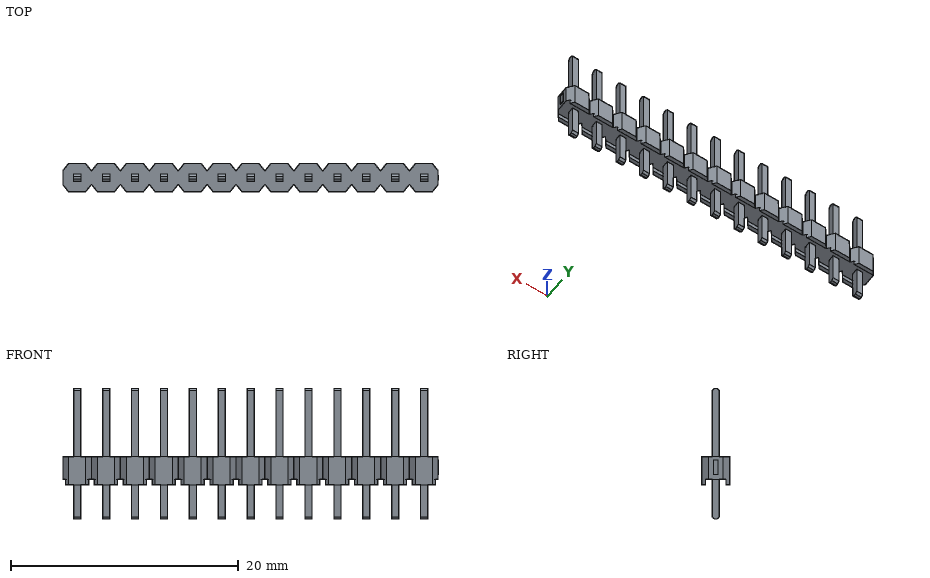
import cadquery as cq

pin_count = 13
pitch = 2.54

pin_side = 0.64
pin_length = 11.5
pin_tail = 3.0
tip_chamfer = 0.2

cell_length = 2.5
body_shift = (cell_length - pitch) / 2
body_width = 2.5
body_height = 2.5
corner_length = 0.5
corner_width = 0.625
waist_width = body_width - 2 * corner_width

channel_width = 1.8
channel_depth = 0.5

nub_length = 0.05
nub_width = 0.4
nub_height = 1.3
nub_top_gap = 0.3

row_length = (pin_count - 1) * pitch
body_length = row_length + cell_length
pin_positions = [i * pitch - row_length / 2 for i in range(pin_count)]


def block(length, width, height, bottom):
    """Box centred on the Z axis, standing on the given height."""
    return cq.Workplane("XY").workplane(offset=bottom).rect(length, width).extrude(height)


def make_cell():
    """Rectangular cell with its four upright corners cut off."""
    half_length = cell_length / 2
    half_width = body_width / 2
    flat_end = half_length - corner_length
    waist = waist_width / 2
    outline = [
        (half_length, waist),
        (flat_end, half_width),
        (-flat_end, half_width),
        (-half_length, waist),
        (-half_length, -waist),
        (-flat_end, -half_width),
        (flat_end, -half_width),
        (half_length, -waist),
    ]
    return cq.Workplane("XY").polyline(outline).close().extrude(body_height)


def make_body():
    """Cells joined by a straight core, with the channel cut underneath."""
    body = block(row_length, waist_width, body_height, 0)
    cell = make_cell()
    for x in pin_positions:
        body = body.union(cell.translate((x, 0, 0)))
    return body.cut(block(body_length, channel_width, channel_depth, 0))


def make_nub():
    """Small pad left on the end face where the strip was broken off."""
    bottom = body_height - nub_top_gap - nub_height
    return block(2 * nub_length, nub_width, nub_height, bottom).translate((body_length / 2, 0, 0))


def make_pin():
    """Square pin with wedge tips, bevelled on the two sides facing along Y."""
    pin = block(pin_side, pin_side, pin_length, -pin_tail)
    return pin.faces("<Z or >Z").edges("|X").chamfer(tip_chamfer)


result = make_body().union(make_nub()).translate((body_shift, 0, 0))
pin = make_pin()
for x in pin_positions:
    result = result.union(pin.translate((x, 0, 0)))